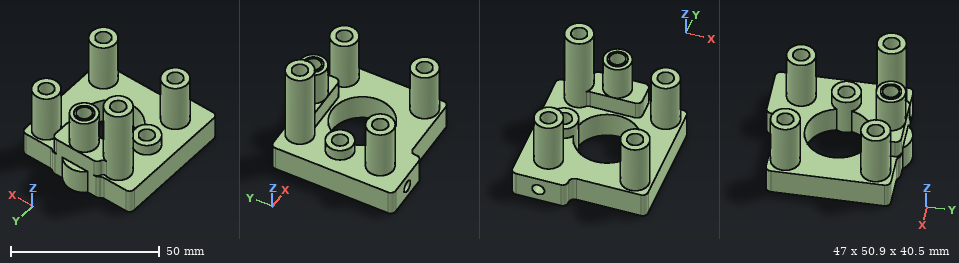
import cadquery as cq
import math

plate_width = 47.0
plate_depth = 47.35
plate_thickness = 10.0
step_x = 20.0
step_y = 4.5
corner_radius = 2.0
window_diameter = 23.0

post_pitch = 31.0
post_x = 9.95
post_y = 10.45
post_diameter = 10.0
post_bore = 5.6
standard_post_top = 29.55
tall_post_top = 40.5
short_post_top = 14.5

tower_x = 23.0
tower_y = 43.45
tower_top = 30.55
block_width = 20.05
block_depth = post_diameter
block_top = 17.0
joint_fillet = 1.25
rim_diameter = 7.0
rim_height = 0.2
tower_bore = 5.6
tower_hole = 3.0
overall_depth = 50.85
lobe_radius = overall_depth - tower_y

cross_hole_entry = 4.4
cross_hole_entry_depth = 4.5
cross_hole_inner = 3.2
cross_hole_depth = 6.5

bump_flat_half = 8.85
block_back = tower_y + block_depth / 2
bump_height = block_back - plate_depth
arc_angle = math.acos(1 - bump_height / (2 * corner_radius))
arc_run = corner_radius * math.sin(arc_angle)
half_run = corner_radius * math.sin(arc_angle / 2)
half_drop = corner_radius * (1 - math.cos(arc_angle / 2))


def cylinder(x, y, diameter, bottom, top):
    return cq.Workplane("XY", origin=(x, y, bottom)).circle(diameter / 2).extrude(top - bottom)


def make_plate():
    """Rounded plate with a front step."""
    outline = [
        (0, 0),
        (step_x, 0),
        (step_x, step_y),
        (plate_width, step_y),
        (plate_width, plate_depth),
        (0, plate_depth),
    ]
    plate = cq.Workplane("XY").polyline(outline).close().extrude(plate_thickness)
    return plate.edges("|Z").fillet(corner_radius)


def make_bump():
    """Low swelling of the back edge, blended into it by S-curves."""
    flat_left = tower_x - bump_flat_half
    flat_right = tower_x + bump_flat_half
    bump_middle = plate_depth + bump_height / 2
    return (
        cq.Workplane("XY")
        .moveTo(flat_left, block_back)
        .lineTo(flat_right, block_back)
        .threePointArc(
            (flat_right + half_run, block_back - half_drop),
            (flat_right + arc_run, bump_middle),
        )
        .threePointArc(
            (flat_right + 2 * arc_run - half_run, plate_depth + half_drop),
            (flat_right + 2 * arc_run, plate_depth),
        )
        .lineTo(flat_right, tower_y)
        .lineTo(flat_left, tower_y)
        .lineTo(flat_left - 2 * arc_run, plate_depth)
        .threePointArc(
            (flat_left - 2 * arc_run + half_run, plate_depth + half_drop),
            (flat_left - arc_run, bump_middle),
        )
        .threePointArc(
            (flat_left - half_run, block_back - half_drop),
            (flat_left, block_back),
        )
        .close()
        .extrude(plate_thickness)
    )


def make_block():
    """Rounded block that carries the tower."""
    return (
        cq.Workplane("XY", origin=(tower_x, tower_y, 0))
        .rect(block_width, block_depth)
        .extrude(block_top)
        .edges("|Z")
        .fillet(corner_radius)
    )


def make_blended_block():
    """Block joined to the tall back left post by two small concave fillets."""
    post = cylinder(post_x, post_y + post_pitch, post_diameter, 0, block_top)
    block_left = tower_x - block_width / 2
    block_front = tower_y - block_depth / 2
    margin = 0.5
    joint_zone = cq.selectors.BoxSelector(
        (block_left, block_front - margin, 0),
        (post_x + post_diameter / 2, block_back, block_top),
    )
    joined = make_block().union(post)
    return joined.edges("|Z").edges(joint_zone).fillet(joint_fillet)


def make_cross_hole():
    """Blind stepped horizontal hole in line with the front left post."""
    front = cq.Workplane("XZ", origin=(post_x, 0, plate_thickness / 2))
    entry = front.circle(cross_hole_entry / 2).extrude(-cross_hole_entry_depth)
    inner = front.circle(cross_hole_inner / 2).extrude(-cross_hole_depth)
    return entry.union(inner)


left_x = post_x
right_x = post_x + post_pitch
front_y = post_y
middle_y = post_y + post_pitch / 2
back_y = post_y + post_pitch
posts = [
    (left_x, front_y, standard_post_top),
    (right_x, front_y, standard_post_top),
    (right_x, back_y, standard_post_top),
    (left_x, back_y, tall_post_top),
    (left_x, middle_y, short_post_top),
]

window = cylinder(post_x + post_pitch / 2, middle_y, window_diameter, 0, plate_thickness)
lobe = cylinder(tower_x, tower_y, 2 * lobe_radius, 0, plate_thickness)
result = make_plate().union(make_bump()).union(lobe).cut(window)
result = result.union(make_blended_block())

for x, y, top in posts:
    result = result.union(cylinder(x, y, post_diameter, 0, top))
for x, y, top in posts:
    result = result.cut(cylinder(x, y, post_bore, 0, top))

rim_top = tower_top + rim_height
result = result.union(cylinder(tower_x, tower_y, post_diameter, 0, tower_top))
result = result.union(cylinder(tower_x, tower_y, rim_diameter, tower_top, rim_top))
result = result.cut(cylinder(tower_x, tower_y, tower_bore, plate_thickness, rim_top))
result = result.cut(cylinder(tower_x, tower_y, tower_hole, 0, rim_top))

result = result.cut(make_cross_hole())